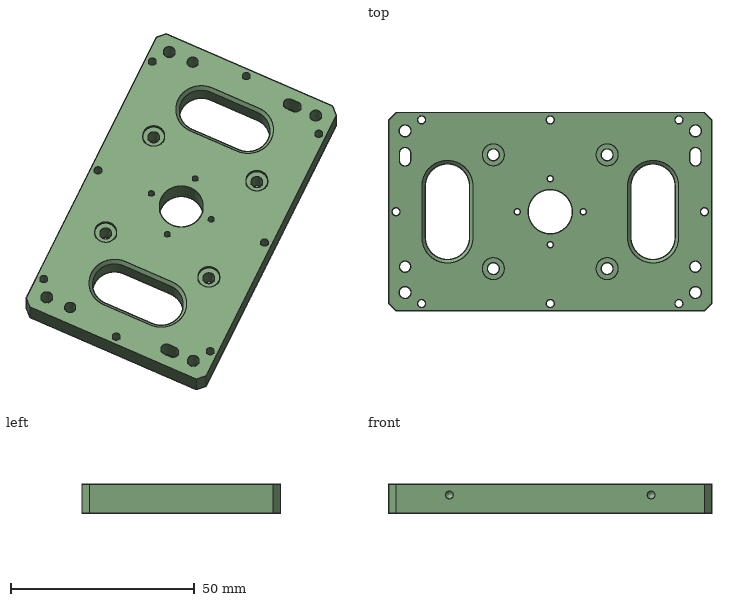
import cadquery as cq
import math

length = 88.0
width = 54.0
thickness = 8.0
corner_chamfer = 2.0

window_x = 28.0
window_width = 12.0
window_length = 26.0
window_chamfer = 1.0

bore_diameter = 12.0
ring_radius = 9.0
ring_hole_diameter = 1.6
ring_hole_count = 4

counterbore_offset = 15.5
counterbore_hole_diameter = 3.2
counterbore_diameter = 6.0
counterbore_depth = 1.0

rim_hole_diameter = 2.1
rim_hole_inset = 2.0
rim_hole_x = 35.0

end_hole_x = 39.5
mounting_hole_y = 22.0
mounting_hole_diameter = 3.2
dowel_y = 15.0
dowel_diameter = 3.0
dowel_slot_length = 5.0

edge_hole_x = 27.5
edge_hole_drop = 3.0
edge_hole_diameter = 2.1
edge_hole_depth = 10.0
drill_point_angle = 118.0


def drill(body, points, diameter):
    """Drill straight through the plate at each XY point."""
    tools = cq.Workplane("XY").pushPoints(points).circle(diameter / 2).extrude(thickness)
    return body.cut(tools)


def cut_window(body, x):
    """Cut an upright oblong window and chamfer both rims at 45 degrees."""
    opening = (
        cq.Workplane("XY").center(x, 0)
        .slot2D(window_length, window_width, 90)
        .extrude(thickness)
    )
    top_rim = (
        cq.Workplane("XY", origin=(0, 0, thickness - window_chamfer)).center(x, 0)
        .slot2D(window_length, window_width, 90)
        .extrude(window_chamfer, taper=-45)
    )
    bottom_rim = top_rim.mirror("XY", (0, 0, thickness / 2))
    return body.cut(opening).cut(top_rim).cut(bottom_rim)


def edge_drill(x):
    """Make a blind drill shape with a conical tip, entering from the -Y edge."""
    radius = edge_hole_diameter / 2
    tip_length = radius / math.tan(math.radians(drill_point_angle / 2))
    entry = -width / 2
    shoulder = entry + edge_hole_depth
    profile = [(0, entry), (radius, entry), (radius, shoulder), (0, shoulder + tip_length)]
    return (
        cq.Workplane("XY")
        .polyline(profile).close()
        .revolve(360, (0, 0, 0), (0, 1, 0))
        .translate((x, 0, thickness - edge_hole_drop))
    )


plate = (
    cq.Workplane("XY")
    .box(length, width, thickness, centered=(True, True, False))
    .edges("|Z").chamfer(corner_chamfer)
)

for side in (-1, 1):
    plate = cut_window(plate, side * window_x)

plate = drill(plate, [(0, 0)], bore_diameter)
ring_angles = [2 * math.pi * i / ring_hole_count for i in range(ring_hole_count)]
ring_points = [(ring_radius * math.cos(a), ring_radius * math.sin(a)) for a in ring_angles]
plate = drill(plate, ring_points, ring_hole_diameter)

plate = (
    plate.faces(">Z").workplane(origin=(0, 0, thickness))
    .rect(2 * counterbore_offset, 2 * counterbore_offset, forConstruction=True).vertices()
    .cboreHole(counterbore_hole_diameter, counterbore_diameter, counterbore_depth)
)

rim_y = width / 2 - rim_hole_inset
rim_points = [(x, y) for x in (-rim_hole_x, 0, rim_hole_x) for y in (-rim_y, rim_y)]
rim_points += [(side * (length / 2 - rim_hole_inset), 0) for side in (-1, 1)]
plate = drill(plate, rim_points, rim_hole_diameter)

end_xs = (-end_hole_x, end_hole_x)
mounting_points = [(x, y) for x in end_xs for y in (-mounting_hole_y, mounting_hole_y)]
plate = drill(plate, mounting_points, mounting_hole_diameter)
plate = drill(plate, [(x, -dowel_y) for x in end_xs], dowel_diameter)
dowel_slots = (
    cq.Workplane("XY").pushPoints([(x, dowel_y) for x in end_xs])
    .slot2D(dowel_slot_length, dowel_diameter, 90)
    .extrude(thickness)
)
plate = plate.cut(dowel_slots)

for side in (-1, 1):
    plate = plate.cut(edge_drill(side * edge_hole_x))

result = plate